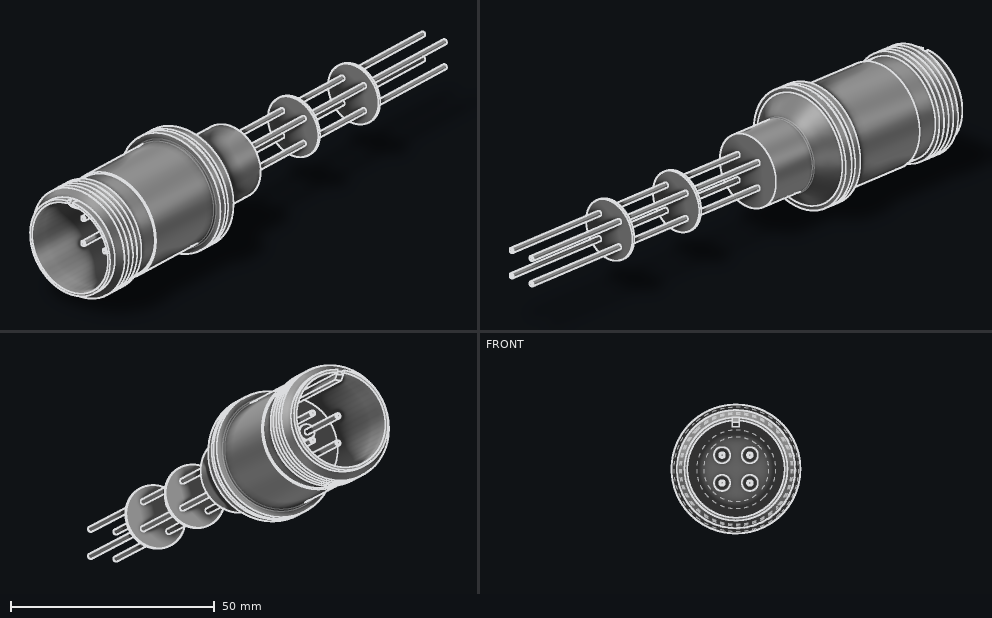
import cadquery as cq

LENGTH = 142.1
FRONT_Y = -LENGTH / 2
TOLERANCE = 0.001

NOSE_RADIUS = 12.6
NOSE_END = 1.8
THREAD_RADIUS = 14.5
THREAD_ROOT_RADIUS = 13.6
THREAD_FIRST_CREST = 3.4
THREAD_LAST_CREST = 10.0
THREAD_RUNOUT = 0.4
CREST_COUNT = 5
RELIEF_RADIUS = 13.5
RELIEF_END = 16.3
BODY_RADIUS = 13.9
FLANGE_DIAMETER = 31.7
FLANGE_RADIUS = FLANGE_DIAMETER / 2
FLANGE_START = 39.1
FLANGE_END = 44.2
FLANGE_FILLET = 0.4
GROOVE_CENTER = 41.5
GROOVE_RADIUS = 0.5
CONE_REAR_RADIUS = 9.7
CONE_FRONT_RADIUS = 14.6
CONE_END = 49.5
NECK_FILLET = 0.7
SHELL_END = 62.4

BORE_RADIUS = 12.0
BORE_DEPTH = 28.4
KEY_WIDTH = 1.7
KEY_HEIGHT = 2.3
KEY_CENTER_Z = 11.5
KEY_TIP = 0.5

CONTACT_OFFSET = 3.4
CONTACT_RADIUS = 0.7
CONTACT_TIP = 9.1
CONTACT_CHAMFER = 0.3
COLLAR_RADIUS = 2.0
COLLAR_HEIGHT = 0.7

DISC_RADIUS = 8.0
DISC_THICKNESS = 0.7
DISC_CENTERS = (87.3, 110.7)


def rod(radius, start, end, x=0.0, z=0.0):
    """Cylinder along Y between two stations."""
    base = cq.Vector(x, FRONT_Y + start, z)
    return cq.Workplane(cq.Solid.makeCylinder(radius, end - start, base, cq.Vector(0, 1, 0)))


def thread_points():
    """V-shaped rings from the first crest to the last one, as (radius, station)."""
    pitch = (THREAD_LAST_CREST - THREAD_FIRST_CREST) / (CREST_COUNT - 1)
    points = [(THREAD_RADIUS, THREAD_FIRST_CREST)]
    for i in range(1, CREST_COUNT):
        crest = THREAD_FIRST_CREST + i * pitch
        points.append((THREAD_ROOT_RADIUS, crest - pitch / 2))
        points.append((THREAD_RADIUS, crest))
    return points


def fillet_ring(body, radius, station, fillet):
    """Round the circular edge that has the given radius and station."""
    def is_ring(edge):
        same_radius = abs(edge.radius() - radius) < TOLERANCE
        return same_radius and abs(edge.Center().y - FRONT_Y - station) < TOLERANCE

    return body.edges("%CIRCLE").filter(is_ring).fillet(fillet)


def make_groove():
    """Half-round groove in the flange rim."""
    center = cq.Vector(0, FRONT_Y + GROOVE_CENTER, 0)
    return cq.Workplane(cq.Solid.makeTorus(FLANGE_RADIUS, GROOVE_RADIUS, center, cq.Vector(0, 1, 0)))


def make_shell():
    outline = [
        (0, 0),
        (NOSE_RADIUS, 0),
        (NOSE_RADIUS, NOSE_END),
        *thread_points(),
        (RELIEF_RADIUS, THREAD_LAST_CREST + THREAD_RUNOUT),
        (RELIEF_RADIUS, RELIEF_END),
        (BODY_RADIUS, RELIEF_END),
        (BODY_RADIUS, FLANGE_START),
        (FLANGE_RADIUS, FLANGE_START),
        (FLANGE_RADIUS, FLANGE_END),
        (CONE_FRONT_RADIUS, FLANGE_END),
        (CONE_REAR_RADIUS, CONE_END),
        (CONE_REAR_RADIUS, SHELL_END),
        (0, SHELL_END),
    ]
    profile = cq.Workplane("XY", origin=(0, FRONT_Y, 0)).polyline(outline).close()
    shell = profile.revolve(360, (0, 0, 0), (0, 1, 0))
    shell = fillet_ring(shell, BODY_RADIUS, FLANGE_START, FLANGE_FILLET)
    shell = fillet_ring(shell, CONE_REAR_RADIUS, CONE_END, NECK_FILLET)
    return shell.cut(make_groove()).cut(rod(BORE_RADIUS, 0, BORE_DEPTH))


def make_keyway():
    """Notch through the top of the nose, in front of the key."""
    height = NOSE_RADIUS + KEY_HEIGHT / 2 - KEY_CENTER_Z
    notch = cq.Workplane("XY").box(KEY_WIDTH, NOSE_END, height, centered=(True, False, False))
    return notch.translate((0, FRONT_Y, KEY_CENTER_Z - KEY_HEIGHT / 2))


def make_key():
    """Rib along the bore whose front end is a 45 degree wedge."""
    half = KEY_HEIGHT / 2
    outline = [
        (KEY_TIP, KEY_CENTER_Z),
        (KEY_TIP + half, KEY_CENTER_Z + half),
        (BORE_DEPTH, KEY_CENTER_Z + half),
        (BORE_DEPTH, KEY_CENTER_Z - half),
        (KEY_TIP + half, KEY_CENTER_Z - half),
    ]
    profile = cq.Workplane("YZ", origin=(0, FRONT_Y, 0)).polyline(outline).close()
    return profile.extrude(KEY_WIDTH / 2, both=True)


def make_contact(x, z):
    """Through lead with chamfered ends and a collar at the socket floor."""
    lead = rod(CONTACT_RADIUS, CONTACT_TIP, LENGTH, x, z).edges().chamfer(CONTACT_CHAMFER)
    return lead.union(rod(COLLAR_RADIUS, BORE_DEPTH - COLLAR_HEIGHT, BORE_DEPTH, x, z))


result = make_shell().cut(make_keyway()).union(make_key())
for contact_x in (-CONTACT_OFFSET, CONTACT_OFFSET):
    for contact_z in (-CONTACT_OFFSET, CONTACT_OFFSET):
        result = result.union(make_contact(contact_x, contact_z))
for center in DISC_CENTERS:
    result = result.union(rod(DISC_RADIUS, center - DISC_THICKNESS / 2, center + DISC_THICKNESS / 2))